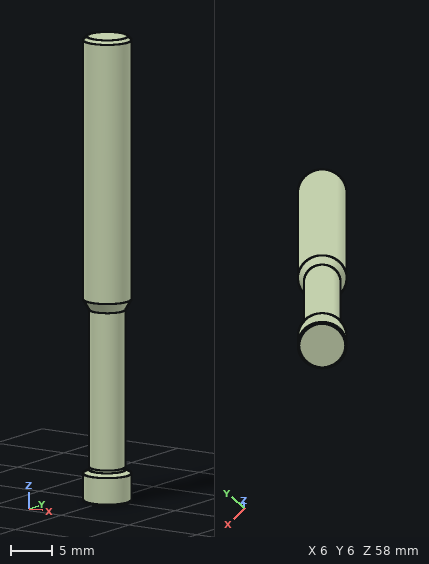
import cadquery as cq
import math

total_length = 58.0
shank_diameter = 6.0
neck_diameter = 4.45
head_diameter = 6.0

shank_tip_chamfer = 0.45
neck_top_z = 23.9
taper_angle = 30.0

head_rim_z = 3.5
shoulder_angle = 30.0
head_stub_length = 0.35
head_edge_chamfer = 0.2

shank_radius = shank_diameter / 2
neck_radius = neck_diameter / 2
head_radius = head_diameter / 2
taper_height = (shank_radius - neck_radius) / math.tan(math.radians(taper_angle))
shank_bottom_z = neck_top_z + taper_height
shoulder_height = (head_radius - neck_radius) * math.tan(math.radians(shoulder_angle))
shoulder_top_z = head_rim_z + shoulder_height
joint_z = shoulder_top_z + head_stub_length


def revolve_profile(points):
    """Revolve a closed outline of (radius, z) points about the Z axis."""
    outline = cq.Workplane("XZ").polyline(points).close()
    return outline.revolve(360, (0, 0, 0), (0, 1, 0))


def make_shaft():
    """Cylindrical shank tapering down to a slim neck."""
    return revolve_profile([
        (0, joint_z),
        (neck_radius, joint_z),
        (neck_radius, neck_top_z),
        (shank_radius, shank_bottom_z),
        (shank_radius, total_length - shank_tip_chamfer),
        (shank_radius - shank_tip_chamfer, total_length),
        (0, total_length),
    ])


def make_head():
    """Cutting disc with a sloped shoulder and a short spigot under the neck."""
    return revolve_profile([
        (0, 0),
        (head_radius - head_edge_chamfer, 0),
        (head_radius, head_edge_chamfer),
        (head_radius, head_rim_z),
        (neck_radius, shoulder_top_z),
        (neck_radius, joint_z),
        (0, joint_z),
    ])


shaft = make_shaft()
head = make_head()

result = cq.Compound.makeCompound([shaft.val(), head.val()])